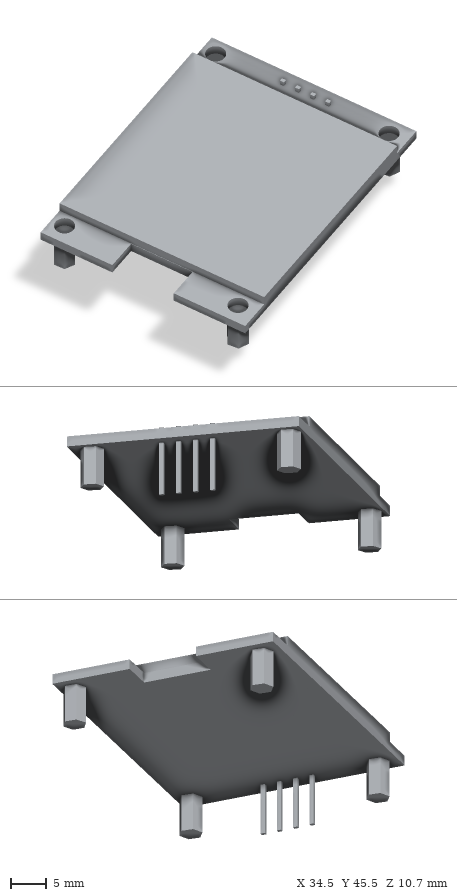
import cadquery as cq
import math

board_width = 34.5
board_length = 45.5
board_thickness = 1.5
left_edge = -board_width / 2
right_edge = board_width / 2
front_edge = -board_length / 2
back_edge = board_length / 2

display_length = 35.3
display_thickness = 1.5
display_back_inset = 5.15
display_front = back_edge - display_back_inset - display_length

notch_left = left_edge + 12.1
notch_width = 10.35
notch_depth = 5.0

hole_diameter = 3.0
hole_left = left_edge + 2.2
hole_right = right_edge - 3.05
hole_front = front_edge + 2.9
hole_back = back_edge - 2.45
standoff_sides = 6
standoff_across_flats = hole_diameter
standoff_across_corners = standoff_across_flats / math.cos(math.pi / standoff_sides)
standoff_height = 5.6
standoff_places = [
    (hole_left, hole_front, 2.0),
    (hole_right, hole_front, 5.0),
    (hole_left, hole_back, 5.0),
    (hole_right, hole_back, 5.0),
]

overall_height = 10.7
pin_count = 4
pin_pitch = 2.54
pin_width = 0.67
pin_depth = 0.55
pin_row_x = 0.03
pin_row_y = back_edge - 2.32
pin_rise = 0.75
pin_drop = overall_height - board_thickness - display_thickness


def make_board():
    board = cq.Workplane("XY").box(
        board_width, board_length, board_thickness, centered=(True, True, False)
    )
    notch = (
        cq.Workplane("XY")
        .box(notch_width, notch_depth, board_thickness, centered=False)
        .translate((notch_left, front_edge, 0))
    )
    holes = (
        cq.Workplane("XY")
        .pushPoints([(x, y) for x, y, turn in standoff_places])
        .circle(hole_diameter / 2)
        .extrude(board_thickness)
    )
    return board.cut(notch).cut(holes).union(make_pins())


def make_pins():
    first_pin_x = pin_row_x - pin_pitch * (pin_count - 1) / 2
    return (
        cq.Workplane("XY")
        .workplane(offset=-pin_drop)
        .pushPoints([(first_pin_x + pin_pitch * i, pin_row_y) for i in range(pin_count)])
        .rect(pin_width, pin_depth)
        .extrude(pin_drop + board_thickness + pin_rise)
    )


def make_display():
    return (
        cq.Workplane("XY")
        .box(board_width, display_length, display_thickness, centered=(True, False, False))
        .translate((0, display_front, board_thickness))
    )


def make_standoff(x, y, turn):
    return (
        cq.Workplane("XY")
        .polygon(standoff_sides, standoff_across_corners)
        .extrude(-standoff_height)
        .rotate((0, 0, 0), (0, 0, 1), turn)
        .translate((x, y, 0))
    )


board = make_board()
display = make_display()
standoffs = [make_standoff(x, y, turn) for x, y, turn in standoff_places]

result = cq.Compound.makeCompound(
    [board.val(), display.val()] + [standoff.val() for standoff in standoffs]
)